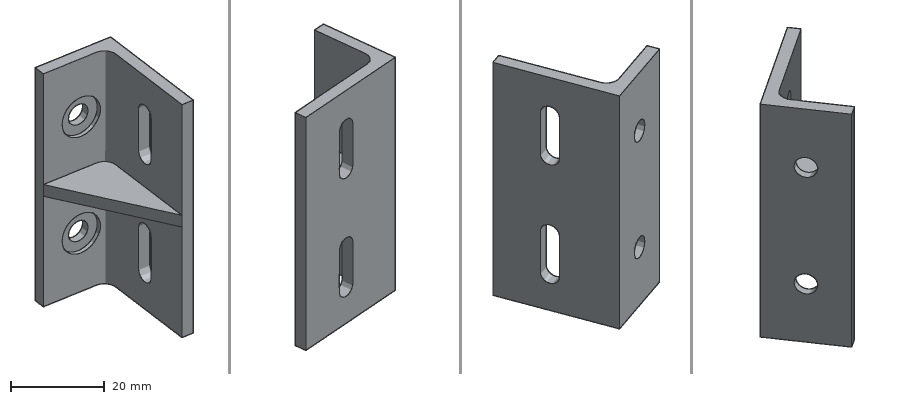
import cadquery as cq

width = 30.0
depth = 20.0
height = 60.0
thickness = 3.0
inner_radius = 3.0

slot_width = 4.5
slot_length = 15.0
slot_x = 16.5
slot_heights = (14.5, 45.0)

hole_diameter = 5.1
seat_diameter = 10.0
seat_depth = 1.0
hole_y = depth / 2
hole_heights = (height / 4, 3 * height / 4)

rib_thickness = 3.0

inner_face_y = depth - thickness


def angle_body():
    """L-shaped extrusion with a rounded inner corner."""
    profile = (
        cq.Workplane("XY")
        .polyline([
            (0, 0),
            (thickness, 0),
            (thickness, inner_face_y),
            (width, inner_face_y),
            (width, depth),
            (0, depth),
        ])
        .close()
    )
    inner_corner = cq.selectors.NearestToPointSelector((thickness, inner_face_y, height / 2))
    return profile.extrude(height).edges(inner_corner).fillet(inner_radius)


def rib():
    """Triangular web joining the two legs at mid-height."""
    return (
        cq.Workplane("XY", origin=(0, 0, (height - rib_thickness) / 2))
        .polyline([(thickness, 0), (width, inner_face_y), (thickness, inner_face_y)])
        .close()
        .extrude(rib_thickness)
    )


def slot_cutter(z):
    """Vertical slot through the wide leg."""
    return (
        cq.Workplane("XZ", origin=(slot_x, depth, z))
        .slot2D(slot_length, slot_width, 90)
        .extrude(thickness)
    )


def cylinder_along_x(diameter, x_start, length, z):
    """Cylinder on a hole axis, running in +X from x_start."""
    return (
        cq.Workplane("YZ", origin=(x_start, hole_y, z))
        .circle(diameter / 2)
        .extrude(length)
    )


result = angle_body()

for z in hole_heights:
    result = result.cut(cylinder_along_x(hole_diameter, 0, thickness, z))
    result = result.cut(cylinder_along_x(seat_diameter, thickness - seat_depth, seat_depth + inner_radius, z))

for z in slot_heights:
    result = result.cut(slot_cutter(z))

result = result.union(rib())